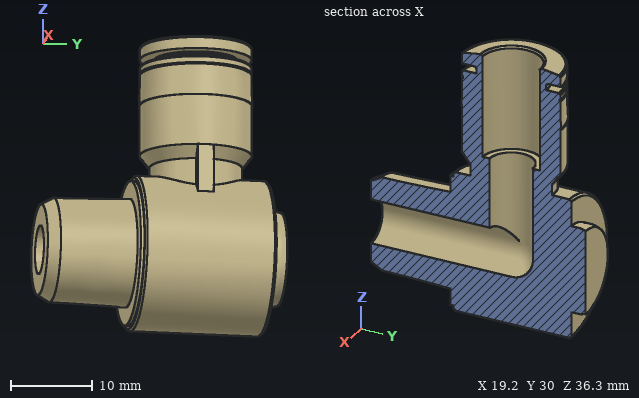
import cadquery as cq

body_radius = 19.2 / 2
overall_height = 36.3
socket_top = overall_height - body_radius

plug_end = 10.4
plug_radius = 11.95 / 2
plug_chamfer_length = 0.75
plug_chamfer_depth = 0.2
body_back = 8.42
body_front = -8.1
body_edge = 0.3
flange_radius = 17.9 / 2
flange_front = -8.53
stub_end = plug_end - 30.0
stub_root_radius = 6.7
stub_tip_radius = 6.45
stub_chamfer_length = 1.5
stub_end_radius = 5.63

neck_radius = 5.75
cone_bottom = 11.07
cone_top = 12.6
sleeve_radius = 13.85 / 2
taper_radius = 14.0 / 2
sleeve_top = 18.9
collar_radius = 13.8 / 2
collar_bottom = 21.93
collar_top = 23.9
collar_groove_height = 22.87
collar_groove_width = 0.15
collar_groove_depth = 0.15
collar_edge = 0.2

ring_neck_radius = 9.8 / 2
ring_neck_flare = 0.18
ring_bottom = 24.72
ring_radius = 13.8 / 2
ring_shoulder = 26.1
ring_edge = 0.2
ring_face_radius = 8.5 / 2

flow_radius = 6.0 / 2
tube_bore_radius = 7.95 / 2
tube_mouth_depth = 0.25
tube_stop = cone_top

rib_width = 2.0


def revolve_about_y(points):
    """Revolve an (x, y) half profile about the Y axis."""
    return cq.Workplane("XY").polyline(points).close().revolve(360, (0, 0, 0), (0, 1, 0))


def revolve_about_z(points):
    """Revolve an (x, z) half profile about the Z axis."""
    return cq.Workplane("XZ").polyline(points).close().revolve(360, (0, 0, 0), (0, 1, 0))


def make_body():
    return revolve_about_y([
        (0, plug_end),
        (plug_radius - plug_chamfer_depth, plug_end),
        (plug_radius, plug_end - plug_chamfer_length),
        (plug_radius, body_back),
        (body_radius - body_edge, body_back),
        (body_radius, body_back - body_edge),
        (body_radius, body_front + body_edge),
        (body_radius - body_edge, body_front),
        (flange_radius, body_front),
        (flange_radius, flange_front),
        (stub_root_radius, flange_front),
        (stub_tip_radius, stub_end + stub_chamfer_length),
        (stub_end_radius, stub_end),
        (0, stub_end),
    ])


def make_socket():
    groove_bottom = collar_groove_height - collar_groove_width / 2
    groove_top = collar_groove_height + collar_groove_width / 2
    groove_radius = collar_radius - collar_groove_depth
    return revolve_about_z([
        (0, 0),
        (neck_radius, 0),
        (neck_radius, cone_bottom),
        (sleeve_radius, cone_top),
        (sleeve_radius, sleeve_top),
        (taper_radius, sleeve_top),
        (collar_radius, collar_bottom),
        (collar_radius, groove_bottom),
        (groove_radius, groove_bottom),
        (groove_radius, groove_top),
        (collar_radius, groove_top),
        (collar_radius, collar_top - collar_edge),
        (collar_radius - collar_edge, collar_top),
        (ring_neck_radius, collar_top),
        (ring_neck_radius, ring_bottom - ring_neck_flare),
        (ring_neck_radius + ring_neck_flare, ring_bottom),
        (ring_radius, ring_bottom),
        (ring_radius, ring_shoulder),
        (ring_radius - ring_edge, ring_shoulder + ring_edge),
        (ring_face_radius, socket_top),
        (0, socket_top),
    ])


def make_ribs():
    """Flat web across the neck that shows as a rib on each side of it."""
    return cq.Workplane("XY").box(2 * sleeve_radius, rib_width, cone_top, centered=(True, True, False))


def make_passages():
    """Stepped tube bore, and a round elbow turning the flow out through the stub."""
    tube_bore = revolve_about_z([
        (0, 0),
        (flow_radius, 0),
        (flow_radius, tube_stop),
        (tube_bore_radius, tube_stop),
        (tube_bore_radius, socket_top - tube_mouth_depth),
        (ring_face_radius, socket_top),
        (0, socket_top),
    ])
    stub_bore = cq.Workplane("XZ").circle(flow_radius).extrude(-stub_end)
    elbow = cq.Workplane("XY").sphere(flow_radius)
    return tube_bore.union(stub_bore).union(elbow)


result = make_body().union(make_socket()).union(make_ribs()).cut(make_passages())